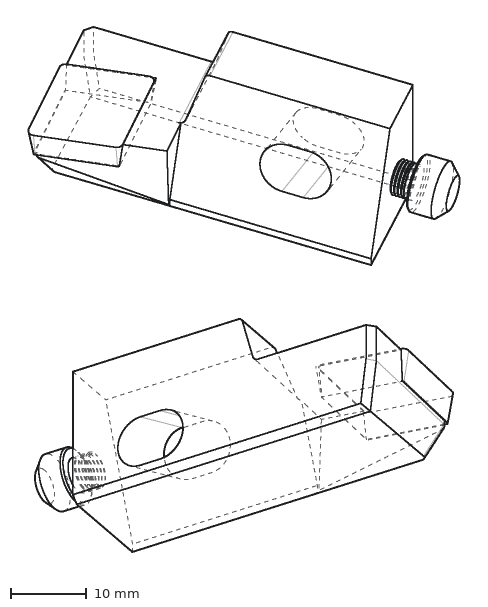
import cadquery as cq
import math


body_end = 46.95
body_height = 20.0
body_depth = 15.1
body_top_depth = 8.3
slant_angle = 20.0
slant_drop = (body_depth - body_top_depth) / math.tan(math.radians(slant_angle))
edge_chamfer = 1.0

shoulder_top_x = 20.9
shoulder_angle = 15.0
shoulder_root_radius = 0.9
shoulder_top_radius = 0.65

head_left = 0.65
head_right = 18.4
head_rear_height = 12.85
head_tilt = 3.0
head_right_depth = 16.15
head_corner_radius = 0.75
edge_angle = 10.0
undercut_angle = 30.0
relief_drop = 5.3
clearance_angle = 7.0

insert_width = 12.6
insert_side = 12.8
insert_thickness = 4.8
insert_proud = 0.15
nose_radius = 0.8
insert_tip_depth = 20.2

slot_width = 7.05
slot_straight = 3.0
slot_x = 35.0
slot_z = 10.3

screw_y = -6.0
screw_z = 8.05
screw_head_start = 49.9
screw_end = 55.0
screw_head_diameter = 8.0
screw_head_bevel = 1.55
screw_head_rim = 0.3
thread_diameter = 5.0
thread_pitch = 0.5
neck_radius = 2.4
thread_depth = 0.3
thread_turns = 4

cut_margin = 33.0


def tilted_plane(offset=0.0):
    """Plane parallel to the head surface, raised by offset along its normal."""
    tilt = math.radians(head_tilt)
    normal = cq.Vector(0, -math.sin(tilt), math.cos(tilt))
    origin = cq.Vector(0, 0, head_rear_height) + normal * offset
    return cq.Plane(origin=origin, xDir=(1, 0, 0), normal=normal)


def make_insert(corner_radius):
    """Rhombic insert tapered inwards below its top; a radius of 0 leaves the corners sharp."""
    rise = insert_width * math.tan(math.radians(edge_angle))
    corners = [
        (0, -insert_tip_depth),
        (insert_width, rise - insert_tip_depth),
        (insert_width, rise - insert_tip_depth + insert_side),
        (0, insert_side - insert_tip_depth),
    ]
    outline = cq.Sketch().polygon(corners + corners[:1])
    if corner_radius > 0:
        outline = outline.vertices().fillet(corner_radius)
    return (
        cq.Workplane(tilted_plane(offset=insert_proud))
        .placeSketch(outline)
        .extrude(-insert_thickness, taper=clearance_angle)
    )


def make_body():
    """Slant-faced block with a sloping shoulder down to the head surface."""
    front_lip = body_height - slant_drop
    block = (
        cq.Workplane("YZ", origin=(head_right - edge_chamfer, 0, 0))
        .polyline([
            (-edge_chamfer, 0), (-body_depth, 0), (-body_depth, front_lip),
            (-body_top_depth, body_height), (0, body_height), (0, edge_chamfer),
        ]).close()
        .extrude(body_end - head_right + edge_chamfer)
    )
    lean = math.tan(math.radians(shoulder_angle))
    shoulder_space = (
        cq.Workplane("XZ", origin=(0, cut_margin, 0))
        .polyline([
            (-cut_margin, 0), (shoulder_top_x - body_height * lean, 0),
            (shoulder_top_x + body_height * lean, 2 * body_height), (-cut_margin, 2 * body_height),
        ]).close()
        .extrude(2 * cut_margin)
    )
    above_head = cq.Workplane(tilted_plane()).rect(4 * cut_margin, 4 * cut_margin).extrude(cut_margin)
    body = block.cut(shoulder_space.intersect(above_head))
    root_x = shoulder_top_x - (body_height - head_rear_height) * lean
    root = cq.selectors.BoxSelector(
        (root_x - 0.55, -body_depth, head_rear_height - 1.1), (root_x + 0.55, 0, head_rear_height + 0.55)
    )
    body = body.edges(root).fillet(shoulder_root_radius)
    return body.faces(">Z").edges("<X").fillet(shoulder_top_radius)


def is_steep(edge):
    """True for an edge that runs closer to vertical than to horizontal."""
    return abs(edge.tangentAt(0.5).z) > math.cos(math.radians(45))


def make_head():
    """Tilted prism with an end relief, a front undercut and rear chamfers."""
    left_depth = head_right_depth + (head_right - head_left) * math.tan(math.radians(edge_angle))
    head = (
        cq.Workplane(tilted_plane())
        .polyline([
            (head_left, -left_depth), (head_right, -head_right_depth),
            (head_right, edge_chamfer), (head_left, edge_chamfer),
        ]).close()
        .extrude(-cut_margin)
    )
    front_reach = 2 * body_depth
    undercut_height = (front_reach - body_depth) / math.tan(math.radians(undercut_angle))
    envelope = (
        cq.Workplane("YZ")
        .polyline([
            (-edge_chamfer, 0), (-body_depth, 0), (-front_reach, undercut_height),
            (0, undercut_height), (0, edge_chamfer),
        ]).close()
        .extrude(head_right)
    )
    relief_run = cut_margin * math.tan(math.radians(clearance_angle))
    relief_plane = cq.Plane(
        origin=tilted_plane().toWorldCoords((head_left, cut_margin, -relief_drop)),
        xDir=(1, 0, 0),
        normal=tilted_plane().yDir * -1,
    )
    relief = (
        cq.Workplane(relief_plane)
        .polyline([(0, 0), (relief_run, -cut_margin), (-relief_run, -cut_margin), (-relief_run, 0)])
        .close()
        .extrude(2 * cut_margin)
    )
    sharp = head.intersect(envelope).cut(relief)
    leading_edges = [
        edge for edge in sharp.edges().vals()
        if edge.Center().x < head_left + edge_chamfer
        and edge.Center().y < -body_depth
        and is_steep(edge)
    ]
    sharp = sharp.newObject(leading_edges).fillet(head_corner_radius)
    rear_edges = [
        edge for edge in sharp.edges().vals()
        if edge.Center().x < head_left + edge_chamfer
        and edge.Center().y > -edge_chamfer / 4
        and is_steep(edge)
    ]
    return sharp.newObject(rear_edges).chamfer(edge_chamfer)


def cut_slot(part):
    slant = math.radians(slant_angle)
    face_depth = body_top_depth + (body_height - slot_z) * math.tan(slant)
    slot_plane = cq.Plane(
        origin=(slot_x, -face_depth, slot_z),
        xDir=(1, 0, 0),
        normal=(0, -math.cos(slant), math.sin(slant)),
    )
    slot = (
        cq.Workplane(slot_plane)
        .slot2D(slot_straight + slot_width, slot_width)
        .extrude(cut_margin, both=True)
    )
    return part.cut(slot)


def make_screw():
    """Screw head and ringed shank, revolved about the screw axis."""
    crest = thread_diameter / 2
    root = crest - thread_depth
    head_radius = screw_head_diameter / 2
    outline = [(body_end - thread_pitch, 0), (body_end - thread_pitch, root), (body_end, root)]
    for turn in range(thread_turns):
        start = body_end + turn * thread_pitch
        outline += [(start + thread_pitch / 2, crest), (start + thread_pitch, root)]
    outline += [
        (body_end + thread_turns * thread_pitch, neck_radius),
        (screw_head_start, neck_radius),
        (screw_head_start, head_radius - screw_head_rim),
        (screw_head_start + screw_head_rim, head_radius),
        (screw_end - screw_head_bevel, head_radius),
        (screw_end, head_radius - screw_head_bevel),
        (screw_end, 0),
    ]
    return (
        cq.Workplane("XY", origin=(0, screw_y, screw_z))
        .polyline(outline).close()
        .revolve(360, (0, 0, 0), (1, 0, 0))
    )


def make_cartridge():
    holder = make_body().union(make_head()).cut(make_insert(0))
    return cut_slot(holder).union(make_screw())


cartridge = make_cartridge()
insert = make_insert(nose_radius)

result = cq.Compound.makeCompound([cartridge.val(), insert.val()])